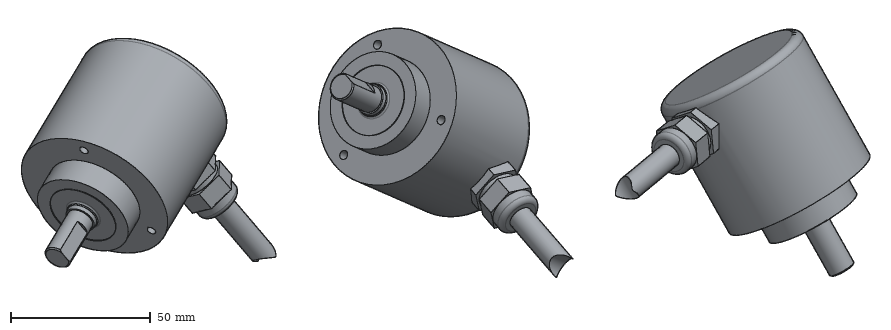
import cadquery as cq
import math


body_radius = 29.0
body_length = 53.0
body_back_fillet = 3.0

boss_radius = 18.0
boss_length = 10.0
recess_radius = 13.0
recess_depth = 0.4

hole_count = 3
hole_diameter = 3.3
hole_depth = 8.0
hole_circle_radius = 24.0
first_hole_angle = 100.0

shaft_radius = 5.0
shaft_length = 22.0
shaft_chamfer = 0.5
flat_length = 15.0
flat_distance = 4.0

lip_foot_radius = 6.85
lip_bend_radius = 6.1
lip_bend_height = 0.25
lip_neck_radius = 5.85
lip_tip_radius = 5.6
lip_neck_height = 0.7
lip_height = 2.35

gland_angle = -49.5
gland_from_back = 11.0
hex_across_corners = 20.0
base_hex_start = 20.0
base_hex_end = 32.0
neck_radius = 7.9
nut_start = 34.3
nut_end = 41.8
dome_radius = 8.5
dome_end = 47.0
dome_fillet = 2.0

cable_radius = 4.55
cable_end = 76.0
cable_cut_radius = 4.6

flat_angle = gland_angle + 90.0


def front_plane(distance):
    """Workplane facing -Y, set the given distance in front of the flange face."""
    return cq.Workplane("XZ", origin=(0, -distance, 0))


def make_housing():
    body = front_plane(-body_length).circle(body_radius).extrude(body_length)
    body = body.faces(">Y").edges().fillet(body_back_fillet)
    boss = front_plane(0).circle(boss_radius).extrude(boss_length)
    recess = front_plane(boss_length - recess_depth).circle(recess_radius).extrude(recess_depth)
    return body.union(boss).cut(recess)


def make_mounting_holes():
    return (
        front_plane(-hole_depth)
        .polarArray(hole_circle_radius, first_hole_angle, 360, hole_count)
        .circle(hole_diameter / 2)
        .extrude(hole_depth)
    )


def make_shaft():
    shaft = front_plane(0).circle(shaft_radius).extrude(boss_length + shaft_length)
    shaft = shaft.faces("<Y").chamfer(shaft_chamfer)
    flat_start = boss_length + shaft_length - flat_length
    flat_cut = (
        front_plane(flat_start)
        .transformed(rotate=(0, 0, flat_angle))
        .center(flat_distance + shaft_radius / 2, 0)
        .rect(shaft_radius, 2 * shaft_radius)
        .extrude(flat_length)
    )
    return shaft.cut(flat_cut)


def make_seal_lip():
    """Ring flaring out to its foot on the recessed boss face."""
    foot_y = -(boss_length - recess_depth)
    bend_y = -(boss_length + lip_bend_height)
    neck_y = -(boss_length + lip_neck_height)
    tip_y = -(boss_length + lip_height)
    flare_width = lip_foot_radius - lip_bend_radius
    flare_height = foot_y - bend_y
    reach = 1 - math.sqrt(0.5)
    flare_middle = (lip_bend_radius + flare_width * reach, foot_y - flare_height * reach)
    return (
        cq.Workplane("XY")
        .moveTo(0, foot_y)
        .lineTo(lip_foot_radius, foot_y)
        .threePointArc(flare_middle, (lip_bend_radius, bend_y))
        .lineTo(lip_neck_radius, neck_y)
        .lineTo(lip_tip_radius, tip_y)
        .lineTo(0, tip_y)
        .close()
        .revolve(360, (0, 0, 0), (0, 1, 0))
    )


def gland_plane(distance):
    """Workplane across the gland axis, its local x towards a hexagon corner."""
    angle = math.radians(gland_angle)
    outward = cq.Vector(math.cos(angle), 0, math.sin(angle))
    sideways = cq.Vector(-math.sin(angle), 0, math.cos(angle))
    origin = cq.Vector(0, body_length - gland_from_back, 0) + outward * distance
    return cq.Workplane(cq.Plane(origin=origin, xDir=sideways, normal=outward))


def make_gland():
    base_hex = gland_plane(base_hex_start).polygon(6, hex_across_corners)
    base_hex = base_hex.extrude(base_hex_end - base_hex_start)
    neck = gland_plane(base_hex_start).circle(neck_radius).extrude(nut_end - base_hex_start)
    nut = gland_plane(nut_start).polygon(6, hex_across_corners).extrude(nut_end - nut_start)
    dome = gland_plane(nut_end).circle(dome_radius).extrude(dome_end - nut_end)
    outer_edge = cq.selectors.DirectionMinMaxSelector(gland_plane(0).plane.zDir)
    dome = dome.faces(outer_edge).edges().fillet(dome_fillet)
    return base_hex.union(neck).union(nut).union(dome)


def make_cable():
    cable = gland_plane(base_hex_end).circle(cable_radius).extrude(cable_end - base_hex_end)
    end_center = gland_plane(cable_end).plane.origin
    end_cut = (
        cq.Workplane("XZ", origin=end_center.toTuple())
        .circle(cable_cut_radius)
        .extrude(2 * cable_radius, both=True)
    )
    return cable.cut(end_cut)


result = (
    make_housing()
    .cut(make_mounting_holes())
    .union(make_shaft())
    .union(make_seal_lip())
    .union(make_gland())
    .union(make_cable())
)